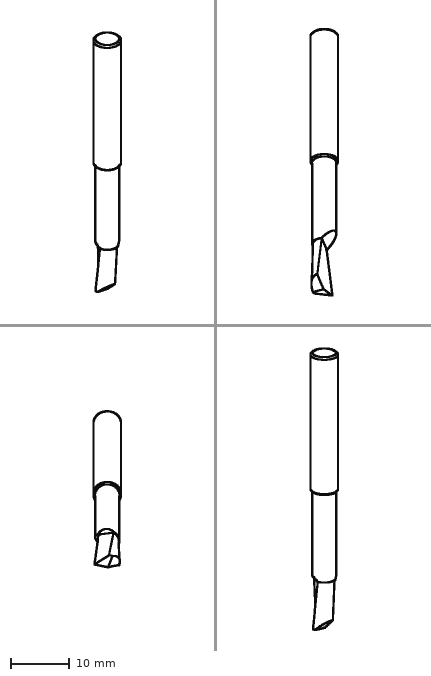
import cadquery as cq
import math

total_length = 50.8
shank_diameter = 4.8
shank_chamfer = 0.35

neck_diameter = 4.15
neck_top = 25.4
neck_bottom = 9.25

blade_top_radius = 2.0
blade_tip_radius = 2.3
blade_top_twist = 26.0
blade_tip_twist = 0.0
relief_angle = 82.0

tip_corner_height = 2.3
end_rise_x = 0.06
end_rise_y = 0.08

clearance = 10.15


def polar(radius, angle):
    a = math.radians(angle)
    return radius * math.cos(a), radius * math.sin(a)


def shank_and_neck():
    shank_radius = shank_diameter / 2
    neck_radius = neck_diameter / 2
    shoulder_top = neck_top + shank_radius - neck_radius
    return (
        cq.Workplane("XZ")
        .moveTo(0, neck_bottom)
        .lineTo(neck_radius, neck_bottom)
        .lineTo(neck_radius, neck_top)
        .lineTo(shank_radius, shoulder_top)
        .lineTo(shank_radius, total_length - shank_chamfer)
        .lineTo(shank_radius - shank_chamfer, total_length)
        .lineTo(0, total_length)
        .close()
        .revolve(360, (0, 0, 0), (0, 1, 0))
    )


def runout_cutter(distance, outward_angle):
    """Wedge leaving a 45 degree run-out, rising outward from a line on the neck's lower end."""
    return (
        cq.Workplane("XZ")
        .moveTo(distance, neck_bottom)
        .lineTo(distance + clearance, neck_bottom)
        .lineTo(distance + clearance, neck_bottom + clearance)
        .close()
        .extrude(clearance, both=True)
        .rotate((0, 0, 0), (0, 0, 1), outward_angle)
    )


def blade_section(height, radius, twist):
    """Diametral rake face, flat relief face and round back."""
    rake_start = polar(radius, twist + 180)
    relief_end = polar(radius, twist + 180 + relief_angle)
    back_middle = polar(radius, twist + 270 + relief_angle / 2)
    rake_end = polar(radius, twist)
    wire = (
        cq.Workplane("XY")
        .moveTo(*rake_start)
        .lineTo(*relief_end)
        .threePointArc(back_middle, rake_end)
        .close()
        .val()
    )
    return wire.translate(cq.Vector(0, 0, height))


def blade():
    sections = [
        blade_section(0, blade_tip_radius, blade_tip_twist),
        blade_section(neck_bottom, blade_top_radius, blade_top_twist),
    ]
    return cq.Workplane(cq.Solid.makeLoft(sections, True))


def corner_cutter():
    return (
        cq.Workplane("XZ")
        .moveTo(blade_tip_radius - tip_corner_height, 0)
        .lineTo(blade_tip_radius - tip_corner_height + clearance, 0)
        .lineTo(blade_tip_radius - tip_corner_height + clearance, clearance)
        .close()
        .extrude(clearance, both=True)
    )


def end_cutter():
    """Block below the sloped end face, which touches the cutting point at Z = 0."""
    end_face = cq.Plane(
        origin=(-blade_tip_radius, 0, 0),
        xDir=(1, 0, end_rise_x),
        normal=(-end_rise_x, end_rise_y, 1),
    )
    return cq.Workplane(end_face).rect(2 * clearance, 2 * clearance).extrude(-clearance)


relief_middle_angle = blade_top_twist + 180 + relief_angle / 2
relief_distance = blade_top_radius * math.cos(math.radians(relief_angle / 2))

body = shank_and_neck()
body = body.cut(runout_cutter(0, blade_top_twist + 90))
body = body.cut(runout_cutter(relief_distance, relief_middle_angle))

ground_blade = blade().cut(corner_cutter()).cut(end_cutter())
result = body.union(ground_blade)